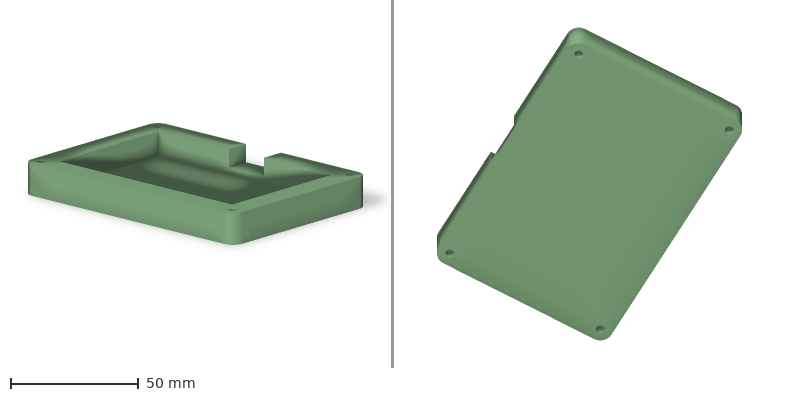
import cadquery as cq

length = 112.0
width = 78.0
height = 13.0
corner_radius = 5.0

rim = 10.0
floor = 3.0
pocket_length = length - 2 * rim
pocket_width = width - 2 * rim

notch_width = 18.5
notch_offset = 0.5
notch_floor = 5.5

hole_diameter = 3.4
hole_spacing_x = length - 2 * corner_radius
hole_spacing_y = width - 2 * corner_radius


def make_body():
    """Plate with rounded vertical corners, standing on Z = 0."""
    body = cq.Workplane("XY").box(length, width, height, centered=(True, True, False))
    return body.edges("|Z").fillet(corner_radius)


def make_pocket():
    """Rectangular cavity open at the top."""
    return (
        cq.Workplane("XY")
        .workplane(offset=floor)
        .rect(pocket_length, pocket_width)
        .extrude(height - floor)
    )


def make_notch():
    """Slot that joins the pocket to the +Y side."""
    rim_middle_y = (width - rim) / 2
    return (
        cq.Workplane("XY")
        .workplane(offset=notch_floor)
        .center(notch_offset, rim_middle_y)
        .rect(notch_width, rim)
        .extrude(height - notch_floor)
    )


def make_screw_holes():
    """Four cylinders through the full height of the corners."""
    return (
        cq.Workplane("XY")
        .rect(hole_spacing_x, hole_spacing_y, forConstruction=True)
        .vertices()
        .circle(hole_diameter / 2)
        .extrude(height)
    )


result = make_body().cut(make_pocket()).cut(make_notch()).cut(make_screw_holes())